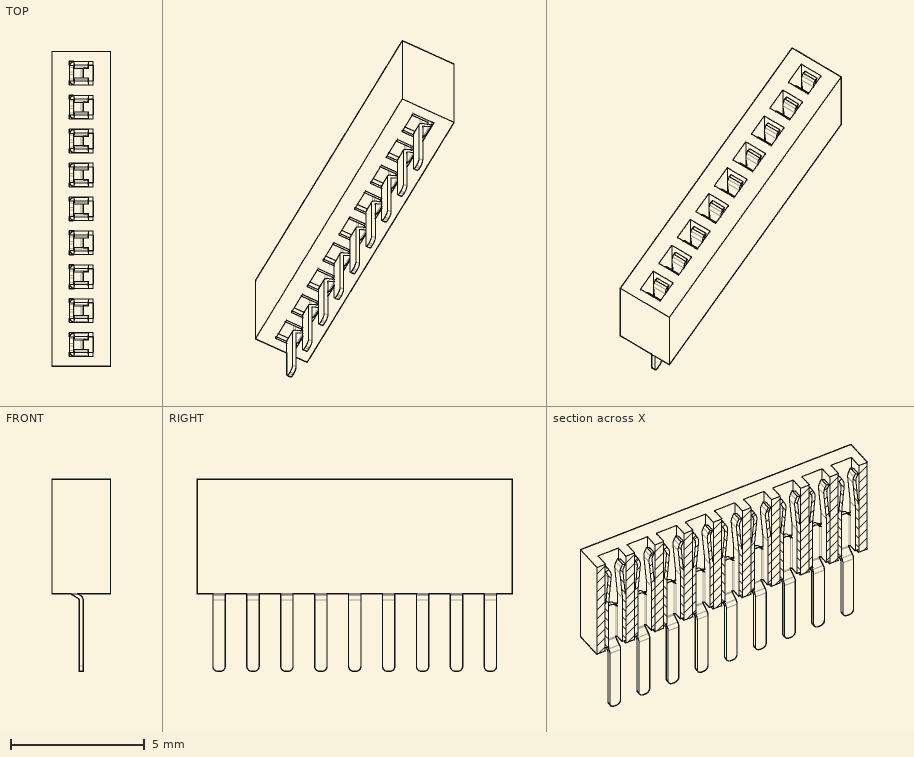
import cadquery as cq
import math


housing_width = 2.2
housing_length = 11.8
housing_height = 4.3
socket_size = 0.88
contact_count = 9
row_length = 10.16
pitch = row_length / (contact_count - 1)
row_places = [index * pitch - row_length / 2 for index in range(contact_count)]

sheet = 0.15
channel_half = socket_size / 2
channel_inner_half = channel_half - sheet
channel_corner_radius = 0.2
shoulder_z = 1.65

tail_width = 0.47
tail_tip_z = -2.9
tail_straight_top_z = -0.22
tail_bend_radius = 0.12
tail_tip_radius = 0.2
ramp_drop_angle = 33.0

arm_width = 0.53
arm_gap_half = 0.18
arm_bend_radius = 0.47
arm_lean_angle = 5.0
arm_flare_angle = 28.0
arm_flare_length = 0.14
arm_tip_z = 3.96
arm_root_radius = 0.18

hump_flat_half = 0.05
hump_crest_radius = 0.2
hump_foot_radius = 0.08
hump_slope_angle = 60.0


def bent_strip(plane, start, heading, segments, width):
    """Strip of sheet along a centre line of (length, 0) straights and (radius, turn) bends.

    Angles are in degrees, anticlockwise positive. The strip is centred across the plane.
    """
    u, v = start
    left_side = []
    right_side = []

    def add_station():
        across_u = -math.sin(math.radians(heading)) * sheet / 2
        across_v = math.cos(math.radians(heading)) * sheet / 2
        left_side.append((u + across_u, v + across_v))
        right_side.append((u - across_u, v - across_v))

    add_station()
    for size, turn in segments:
        half_turn = turn / 2
        half_step = size / 2 if turn == 0 else 2 * size * math.sin(math.radians(abs(half_turn) / 2))
        for _ in range(2):
            chord_heading = math.radians(heading + half_turn / 2)
            u += half_step * math.cos(chord_heading)
            v += half_step * math.sin(chord_heading)
            heading += half_turn
            add_station()

    def trace(outline, side, turns):
        for index, turn in enumerate(turns):
            middle, end = side[2 * index + 1], side[2 * index + 2]
            outline = outline.lineTo(*end) if turn == 0 else outline.threePointArc(middle, end)
        return outline

    turns = [turn for _, turn in segments]
    outline = cq.Workplane(plane).moveTo(*right_side[0])
    outline = trace(outline, right_side, turns)
    outline = outline.lineTo(*left_side[-1])
    outline = trace(outline, left_side[::-1], turns[::-1])
    return outline.close().extrude(width / 2, both=True)


def make_housing():
    socket_places = [(0, y) for y in row_places]
    body = cq.Workplane("XY").rect(housing_width, housing_length).extrude(housing_height)
    sockets = cq.Workplane("XY").pushPoints(socket_places).rect(socket_size, socket_size)
    return body.cut(sockets.extrude(housing_height))


def make_channel(bottom_z, top_z):
    """U-shaped channel with rounded bends at its two back corners."""
    height = top_z - bottom_z
    outer = cq.Workplane("XY").workplane(offset=bottom_z).rect(socket_size, socket_size).extrude(height)
    outer = outer.edges("|Z and <X").fillet(channel_corner_radius)
    inner = (
        cq.Workplane("XY")
        .workplane(offset=bottom_z)
        .center(sheet / 2, 0)
        .rect(socket_size - sheet, 2 * channel_inner_half)
        .extrude(height)
        .edges("|Z and <X")
        .fillet(channel_corner_radius - sheet)
    )
    return outer.cut(inner)


def make_tail():
    """Tail strip with rounded tip corners; also returns the height at which it leaves the back plate."""
    turn = 90 - ramp_drop_angle
    back_plate_x = -channel_half + sheet / 2
    bend_run = tail_bend_radius * (1 - math.cos(math.radians(turn)))
    bend_drop = tail_bend_radius * math.sin(math.radians(turn))
    ramp_run = -back_plate_x - 2 * bend_run
    ramp_length = ramp_run / math.cos(math.radians(ramp_drop_angle))
    start_z = tail_straight_top_z + 2 * bend_drop + ramp_run * math.tan(math.radians(ramp_drop_angle))

    segments = [
        (tail_bend_radius, turn),
        (ramp_length, 0),
        (tail_bend_radius, -turn),
        (tail_straight_top_z - tail_tip_z, 0),
    ]
    strip = bent_strip("XZ", (back_plate_x, start_z), -90, segments, tail_width)
    return strip.faces("<Z").edges("|X").fillet(tail_tip_radius), start_z


def make_arm():
    """Spring arm on the +Y side, standing on the channel shoulder."""
    lean = math.radians(arm_lean_angle)
    flare = math.radians(arm_flare_angle)
    centre_radius = arm_bend_radius - sheet / 2
    inner_root_radius = sheet / 2
    inner_radius_sum = arm_bend_radius + inner_root_radius
    lean_run = channel_inner_half - arm_gap_half - inner_radius_sum * (1 - math.cos(lean))
    lean_length = lean_run / math.sin(lean)
    tip_rise = arm_flare_length * math.cos(flare) + arm_bend_radius * math.sin(flare)
    root_z = arm_tip_z - tip_rise - inner_radius_sum * math.sin(lean) - lean_length * math.cos(lean)
    segments = [
        (root_z - shoulder_z, 0),
        (inner_root_radius + sheet / 2, arm_lean_angle),
        (lean_length, 0),
        (centre_radius, -arm_lean_angle - arm_flare_angle),
        (arm_flare_length, 0),
    ]
    start = (channel_half - sheet / 2, shoulder_z)
    return bent_strip("YZ", start, 90, segments, arm_width)


def make_arm_roots():
    """Concave fillets between the arm sides and the shoulders, following the channel bends."""
    top_z = shoulder_z + arm_root_radius
    arm_half_width = arm_width / 2
    outer_x = arm_half_width + arm_root_radius
    arc_offset = arm_root_radius * (1 - math.sqrt(0.5))
    blend = (
        cq.Workplane("XZ")
        .moveTo(-outer_x, shoulder_z)
        .threePointArc((-arm_half_width - arc_offset, shoulder_z + arc_offset), (-arm_half_width, top_z))
        .lineTo(arm_half_width, top_z)
        .threePointArc((arm_half_width + arc_offset, shoulder_z + arc_offset), (outer_x, shoulder_z))
        .close()
        .extrude(channel_half, both=True)
    )
    between_sides = (
        cq.Workplane("XY")
        .workplane(offset=shoulder_z)
        .rect(2 * socket_size, 2 * channel_inner_half)
        .extrude(arm_root_radius)
    )
    return blend.intersect(make_channel(shoulder_z, top_z)).cut(between_sides)


def make_hump():
    """Hump of a flat crest between two S-curves, as thick as the back plate."""
    slope = math.radians(hump_slope_angle)
    run, rise = math.sin(slope), 1 - math.cos(slope)
    mid_run, mid_rise = math.sin(slope / 2), 1 - math.cos(slope / 2)
    bend_y = hump_flat_half + hump_crest_radius * run
    bend_z = shoulder_z + hump_foot_radius * rise
    foot_y = bend_y + hump_foot_radius * run
    crest_z = bend_z + hump_crest_radius * rise
    crest_middle_y = hump_flat_half + hump_crest_radius * mid_run
    crest_middle_z = crest_z - hump_crest_radius * mid_rise
    foot_middle_y = foot_y - hump_foot_radius * mid_run
    foot_middle_z = shoulder_z + hump_foot_radius * mid_rise
    return (
        cq.Workplane("YZ")
        .workplane(offset=-channel_half)
        .moveTo(-foot_y, shoulder_z)
        .threePointArc((-foot_middle_y, foot_middle_z), (-bend_y, bend_z))
        .threePointArc((-crest_middle_y, crest_middle_z), (-hump_flat_half, crest_z))
        .lineTo(hump_flat_half, crest_z)
        .threePointArc((crest_middle_y, crest_middle_z), (bend_y, bend_z))
        .threePointArc((foot_middle_y, foot_middle_z), (foot_y, shoulder_z))
        .close()
        .extrude(sheet)
    )


def make_contact():
    tail, channel_bottom_z = make_tail()
    arm = make_arm()
    contact = make_channel(channel_bottom_z, shoulder_z).union(tail)
    contact = contact.union(arm).union(arm.mirror("XZ"))
    return contact.union(make_arm_roots()).union(make_hump())


housing = make_housing()

contact = make_contact()
contacts = []
for contact_y in row_places:
    contacts.append(contact.translate((0, contact_y, 0)).solids().val())

result = cq.Compound.makeCompound([housing.val(), *contacts])